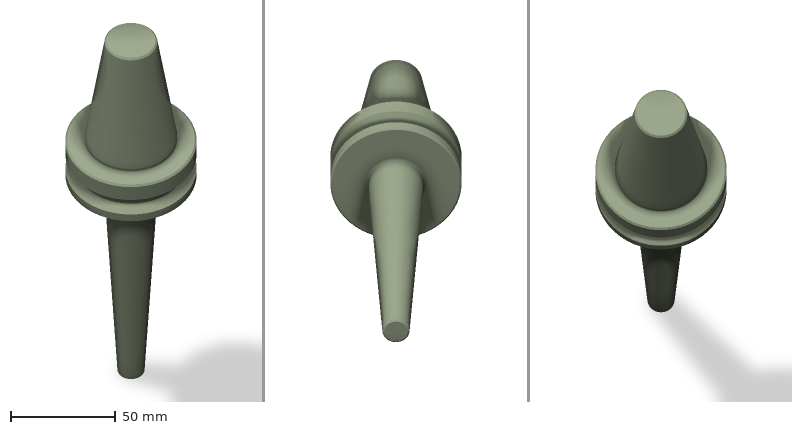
import cadquery as cq

TOTAL_LENGTH = 225.5
TAPER_LENGTH = 65.4
COLLAR_LENGTH = 2.0
FLANGE_THICKNESS = 25.0

TAPER_RATIO = 7 / 24
GAUGE_RADIUS = 44.5 / 2
TAPER_END_RADIUS = GAUGE_RADIUS - TAPER_LENGTH * TAPER_RATIO / 2
TAPER_CHAMFER = 1.0

RELIEF_DEPTH = 0.2
RELIEF_FILLET = 0.7
RELIEF_RADIUS = GAUGE_RADIUS - RELIEF_DEPTH

FLANGE_RADIUS = 63.0 / 2
FLANGE_CHAMFER = 1.0
UPPER_RIM_HEIGHT = 9.7
GROOVE_FLOOR_RADIUS = 53.6 / 2
GROOVE_FLANK_HEIGHT = 2.7
GROOVE_FLOOR_HEIGHT = 4.5

NOSE_ROOT_RADIUS = 26.5 / 2
NOSE_TIP_RADIUS = 13.0 / 2
NOSE_FILLET = 1.5
TIP_CHAMFER = 1.0

GAUGE_Z = TOTAL_LENGTH - TAPER_LENGTH
FLANGE_TOP = GAUGE_Z - COLLAR_LENGTH
FLANGE_BOTTOM = FLANGE_TOP - FLANGE_THICKNESS
GROOVE_TOP = FLANGE_TOP - UPPER_RIM_HEIGHT
FLOOR_TOP = GROOVE_TOP - GROOVE_FLANK_HEIGHT
FLOOR_BOTTOM = FLOOR_TOP - GROOVE_FLOOR_HEIGHT
GROOVE_BOTTOM = FLOOR_BOTTOM - GROOVE_FLANK_HEIGHT


def turned_body():
    """Half profile (radius, z) revolved about the Z axis."""
    profile = (
        cq.Workplane("XZ")
        .moveTo(0, 0)
        .lineTo(NOSE_TIP_RADIUS - TIP_CHAMFER, 0)
        .lineTo(NOSE_TIP_RADIUS, TIP_CHAMFER)
        .lineTo(NOSE_ROOT_RADIUS, FLANGE_BOTTOM - NOSE_FILLET)
        .radiusArc((NOSE_ROOT_RADIUS + NOSE_FILLET, FLANGE_BOTTOM), NOSE_FILLET)
        .lineTo(FLANGE_RADIUS - FLANGE_CHAMFER, FLANGE_BOTTOM)
        .lineTo(FLANGE_RADIUS, FLANGE_BOTTOM + FLANGE_CHAMFER)
        .lineTo(FLANGE_RADIUS, GROOVE_BOTTOM)
        .lineTo(GROOVE_FLOOR_RADIUS, FLOOR_BOTTOM)
        .lineTo(GROOVE_FLOOR_RADIUS, FLOOR_TOP)
        .lineTo(FLANGE_RADIUS, GROOVE_TOP)
        .lineTo(FLANGE_RADIUS, FLANGE_TOP - FLANGE_CHAMFER)
        .lineTo(FLANGE_RADIUS - FLANGE_CHAMFER, FLANGE_TOP)
        .lineTo(RELIEF_RADIUS + RELIEF_FILLET, FLANGE_TOP)
        .radiusArc((RELIEF_RADIUS, FLANGE_TOP + RELIEF_FILLET), RELIEF_FILLET)
        .lineTo(RELIEF_RADIUS, GAUGE_Z - RELIEF_DEPTH)
        .lineTo(GAUGE_RADIUS, GAUGE_Z)
        .lineTo(TAPER_END_RADIUS, TOTAL_LENGTH - TAPER_CHAMFER)
        .lineTo(TAPER_END_RADIUS - TAPER_CHAMFER, TOTAL_LENGTH)
        .lineTo(0, TOTAL_LENGTH)
        .close()
    )
    return profile.revolve(360, (0, 0, 0), (0, 1, 0))


result = turned_body()